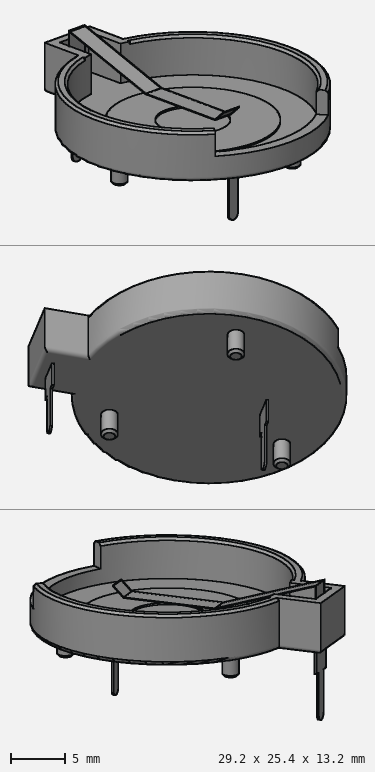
import cadquery as cq
import math

cup_radius = 12.7
cup_height = 4.93
cavity_radius = 11.55
floor_height = 1.0
bottom_round = 0.4
rim_chamfer = 0.25

opening_height = 2.48
opening_half_angle = 35.2

total_length = 29.2
box_left = cup_radius - total_length
box_width = 5.85
box_end_wall = 0.93
box_side_wall = 1.02

seat_diameter = 16.2
seat_rise = 0.15
center_recess_diameter = 6.95
center_recess_depth = 0.18

peg_diameter = 1.58
peg_length = 2.55
peg_circle_radius = 9.52
peg_chamfer = 0.25
peg_angles = (30, 150, 270)

pin_thickness = 0.2
pin_shoulder_width = 2.35
pin_shoulder_length = 2.57
pin_width = 1.17
pin_length = 7.3
spring_pin_x = -15.25
center_pin_x = 5.25

spring_width = 2.05
spring_thickness = 0.1
spring_top = 5.95
spring_bend_x = -5.15
spring_low_x = 3.97
spring_low_height = 2.57
spring_tip_x = 5.05
spring_tip_height = 3.6


def cylinder(radius, bottom, top):
    return cq.Workplane("XY").workplane(offset=bottom).circle(radius).extrude(top - bottom)


def make_housing():
    """Cup and terminal box, hollowed together and open at the top."""
    box_length = -box_left - cavity_radius * math.cos(math.asin(box_width / 2 / cavity_radius))
    cup = cylinder(cup_radius, 0, cup_height).faces(">Z").chamfer(rim_chamfer)
    rim_cone = (
        cq.Workplane("XY")
        .workplane(offset=cup_height - rim_chamfer)
        .circle(cavity_radius)
        .workplane(offset=rim_chamfer)
        .circle(cavity_radius + rim_chamfer)
        .loft()
    )
    box = cq.Workplane("XY").box(box_length, box_width, cup_height, centered=(False, True, False))
    box = box.translate((box_left, 0, 0))
    housing = cup.cut(rim_cone).union(box)
    housing = housing.faces("<Z").edges().fillet(bottom_round)

    pocket_left = box_left + box_end_wall
    pocket = cq.Workplane("XY").box(
        -pocket_left, box_width - 2 * box_side_wall, cup_height, centered=(False, True, False)
    )
    pocket = pocket.translate((pocket_left, 0, floor_height))
    return housing.cut(cylinder(cavity_radius, floor_height, cup_height)).cut(pocket)


def make_rim_opening():
    """Wedge with radial sides that lowers the rim on the +X side."""
    reach = 2 * cup_radius
    half_angle = math.radians(opening_half_angle)
    corner_x = reach * math.cos(half_angle)
    corner_y = reach * math.sin(half_angle)
    return (
        cq.Workplane("XY")
        .workplane(offset=opening_height)
        .polyline([(0, 0), (corner_x, -corner_y), (corner_x, corner_y)])
        .close()
        .extrude(cup_height)
    )


def make_peg(angle):
    x = peg_circle_radius * math.cos(math.radians(angle))
    y = peg_circle_radius * math.sin(math.radians(angle))
    peg = cylinder(peg_diameter / 2, -peg_length, bottom_round)
    return peg.faces("<Z").chamfer(peg_chamfer).translate((x, y, 0))


def make_pin(x):
    """Flat shouldered pin with a round tip, rooted in the floor."""
    root = floor_height / 2
    shoulder = pin_shoulder_width / 2
    half_width = pin_width / 2
    return (
        cq.Workplane("YZ")
        .moveTo(-shoulder, root)
        .lineTo(-shoulder, -pin_shoulder_length)
        .lineTo(-half_width, -pin_shoulder_length)
        .lineTo(-half_width, -pin_length + half_width)
        .threePointArc((0, -pin_length), (half_width, -pin_length + half_width))
        .lineTo(half_width, -pin_shoulder_length)
        .lineTo(shoulder, -pin_shoulder_length)
        .lineTo(shoulder, root)
        .close()
        .extrude(pin_thickness / 2, both=True)
        .translate((x, 0, 0))
    )


def make_spring():
    """Bent strip rising from the box floor and reaching over the cup centre."""
    bends = [
        (spring_pin_x, spring_top),
        (spring_bend_x, spring_low_height),
        (spring_low_x, spring_low_height),
        (spring_tip_x, spring_tip_height),
    ]
    underside = [(x, z - spring_thickness) for x, z in reversed(bends[1:])]
    post_right = spring_pin_x + spring_thickness
    arm_slope = (spring_low_height - spring_top) / (spring_bend_x - spring_pin_x)
    post_joint = spring_top - spring_thickness + arm_slope * spring_thickness
    post_bottom = floor_height / 2
    post = [(post_right, post_joint), (post_right, post_bottom), (spring_pin_x, post_bottom)]
    return (
        cq.Workplane("XZ")
        .polyline(bends + underside + post)
        .close()
        .extrude(spring_width / 2, both=True)
    )


result = make_housing().cut(make_rim_opening())

seat_height = floor_height + seat_rise
result = result.union(cylinder(seat_diameter / 2, floor_height / 2, seat_height))
result = result.cut(cylinder(center_recess_diameter / 2, seat_height - center_recess_depth, seat_height))

for peg_angle in peg_angles:
    result = result.union(make_peg(peg_angle))

for pin_x in (spring_pin_x, center_pin_x):
    result = result.union(make_pin(pin_x))

result = result.union(make_spring())